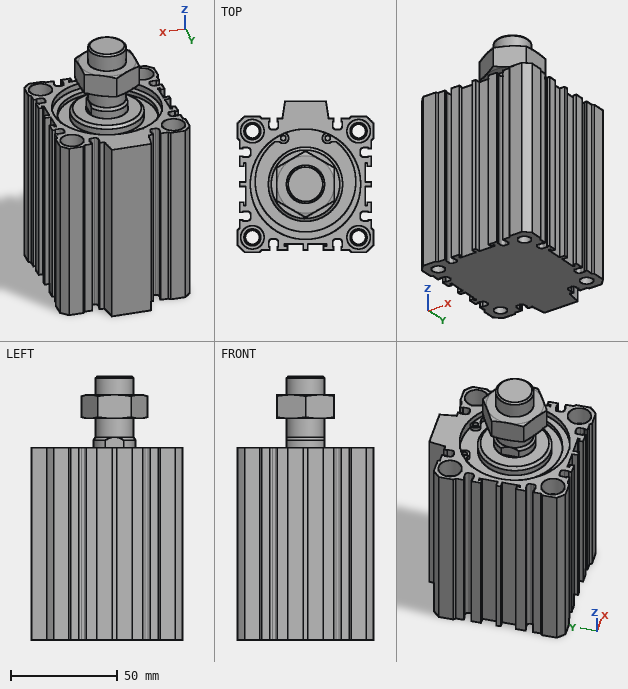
import cadquery as cq
import math

TOTAL_HEIGHT = 124.0
BODY_HEIGHT = 90.5
HALF_WIDTH = 32.0
FACE_OFFSET = 31.0
CORNER_RADIUS = 42.9

POST_EDGE = 21.6
POST_STEP = HALF_WIDTH - FACE_OFFSET
BLOCK_BACK = 39.0
BLOCK_ROOT_HALF_WIDTH = 10.9
BLOCK_BACK_HALF_WIDTH = 9.7

SLOT_OFFSET = 15.0
SLOT_MOUTH_WIDTH = 3.6
SLOT_MOUTH_DEPTH = 1.5
SLOT_INNER_WIDTH = 4.3
SLOT_DEPTH = 5.2
SLOT_FLOOR_RADIUS = 1.5

RAIL_DEPTH = 2.9
RAIL_MOUTH_HALF_WIDTH = 8.4
RAIL_INNER_HALF_WIDTH = 9.9
RAIL_LIP_DEPTH = 2.0
RIB_WIDTH = 2.2

HOLE_PITCH = 50.0
HOLE_DIAMETER = 6.6
HOLE_MOUTH_DIAMETER = 7.9
COUNTERBORE_DIAMETER = 11.0
COUNTERBORE_DEPTH = 9.9

BORE_DIAMETER = 52.0
BORE_DEPTH = 5.0
BOSS_DIAMETER = 35.0
BOSS_CHAMFER = 1.4
BOSS_TOP_GAP = 0.5

RING_THICKNESS = 2.0
RING_INNER_DIAMETER = 47.4
RING_INNER_SHIFT = 1.2
EYE_X = 10.4
EYE_Y = 21.7
EYE_DIAMETER = 5.0
EYE_HOLE_DIAMETER = 2.5
EYE_ARM_END = 14.6
EYE_ARM_FRONT = 20.0

ROD_DIAMETER = 20.0
THREAD_DIAMETER = 18.0
THREAD_START = 95.5
SHOULDER_HEIGHT = 1.5
SHOULDER_STEP = (ROD_DIAMETER - THREAD_DIAMETER) / 2
ROD_TIP_CHAMFER = 0.9
FLATS_WIDTH = 18.0

NUT_SIDES = 6
NUT_TURN = 30
NUT_WIDTH = 27.0
NUT_HEIGHT = 11.0
NUT_BOTTOM = 104.3
NUT_CHAMFER_DROP = 0.6

COVER_LEVEL = BODY_HEIGHT - BORE_DEPTH
BOSS_TOP = BODY_HEIGHT - BOSS_TOP_GAP
ROD_BOTTOM = COVER_LEVEL
SIDE_ANGLES = (0, 90, -90)


def prism(points, height=BODY_HEIGHT):
    return cq.Workplane("XY").polyline(points).close().extrude(height)


def box(x_min, x_max, y_min, y_max, z_min=0.0, z_max=BODY_HEIGHT):
    size_x, size_y, size_z = x_max - x_min, y_max - y_min, z_max - z_min
    return cq.Workplane("XY").box(size_x, size_y, size_z, centered=False).translate((x_min, y_min, z_min))


def cylinder(diameter, z_min, z_max, x=0.0, y=0.0):
    return cq.Workplane("XY", origin=(x, y, z_min)).circle(diameter / 2).extrude(z_max - z_min)


def turn(shape, angle):
    return shape.rotate((0, 0, 0), (0, 0, 1), angle)


def post_relief():
    """Shallow step between two corner posts."""
    inner_edge = POST_EDGE - POST_STEP
    return prism([
        (-POST_EDGE, -HALF_WIDTH),
        (-inner_edge, -FACE_OFFSET),
        (inner_edge, -FACE_OFFSET),
        (POST_EDGE, -HALF_WIDTH),
    ])


def sensor_slot(center_x):
    """Slot with a narrow mouth and a rounded floor."""
    mouth_half, inner_half = SLOT_MOUTH_WIDTH / 2, SLOT_INNER_WIDTH / 2
    floor = -FACE_OFFSET + SLOT_DEPTH
    lip = -FACE_OFFSET + SLOT_MOUTH_DEPTH
    mouth = box(center_x - mouth_half, center_x + mouth_half, -HALF_WIDTH, floor - SLOT_FLOOR_RADIUS)
    inner = box(center_x - inner_half, center_x + inner_half, lip, floor)
    return mouth.union(inner.edges("|Z and >Y").fillet(SLOT_FLOOR_RADIUS))


def rail_recess():
    """Wide undercut recess, split by a rib along its middle."""
    floor = -FACE_OFFSET + RAIL_DEPTH
    lip = -FACE_OFFSET + RAIL_LIP_DEPTH
    mouth = box(-RAIL_MOUTH_HALF_WIDTH, RAIL_MOUTH_HALF_WIDTH, -HALF_WIDTH, floor)
    undercut = box(-RAIL_INNER_HALF_WIDTH, RAIL_INNER_HALF_WIDTH, lip, floor)
    rib = box(-RIB_WIDTH / 2, RIB_WIDTH / 2, -FACE_OFFSET, floor)
    return mouth.union(undercut).cut(rib)


def mounting_hole(x, y):
    """Through hole, conical at the bottom of its counterbore."""
    cone_top = BODY_HEIGHT - COUNTERBORE_DEPTH
    cone_bottom = cone_top - (HOLE_MOUTH_DIAMETER - HOLE_DIAMETER) / 2
    profile = [
        (0, 0),
        (HOLE_DIAMETER / 2, 0),
        (HOLE_DIAMETER / 2, cone_bottom),
        (HOLE_MOUTH_DIAMETER / 2, cone_top),
        (COUNTERBORE_DIAMETER / 2, cone_top),
        (COUNTERBORE_DIAMETER / 2, BODY_HEIGHT),
        (0, BODY_HEIGHT),
    ]
    hole = cq.Workplane("XZ").polyline(profile).close().revolve(360, (0, 0, 0), (0, 1, 0))
    return hole.translate((x, y, 0))


def back_block():
    return prism([
        (-BLOCK_ROOT_HALF_WIDTH, FACE_OFFSET),
        (-BLOCK_BACK_HALF_WIDTH, BLOCK_BACK),
        (BLOCK_BACK_HALF_WIDTH, BLOCK_BACK),
        (BLOCK_ROOT_HALF_WIDTH, FACE_OFFSET),
    ])


def cover_boss():
    boss = cylinder(BOSS_DIAMETER, COVER_LEVEL, BOSS_TOP).faces(">Z").chamfer(BOSS_CHAMFER)
    return boss.cut(cylinder(ROD_DIAMETER, ROD_BOTTOM, BOSS_TOP))


def retaining_ring():
    """Open ring on the cover, with an eye at each end."""
    top = COVER_LEVEL + RING_THICKNESS
    ring = cylinder(BORE_DIAMETER, COVER_LEVEL, top)
    ring = ring.cut(cylinder(RING_INNER_DIAMETER, COVER_LEVEL, top, y=RING_INNER_SHIFT))
    ring = ring.cut(box(-EYE_X, EYE_X, 0, BORE_DIAMETER / 2, COVER_LEVEL, top))
    bore = cylinder(BORE_DIAMETER, COVER_LEVEL, top)
    for side in (-1, 1):
        arm_ends = sorted((side * EYE_X, side * EYE_ARM_END))
        arm = box(*arm_ends, EYE_ARM_FRONT, EYE_Y, COVER_LEVEL, top)
        eye = cylinder(EYE_DIAMETER, COVER_LEVEL, top, side * EYE_X, EYE_Y)
        ring = ring.union(arm.union(eye).intersect(bore))
        ring = ring.cut(cylinder(EYE_HOLE_DIAMETER, COVER_LEVEL, top, side * EYE_X, EYE_Y))
    return ring


def make_housing():
    housing = box(-HALF_WIDTH, HALF_WIDTH, -HALF_WIDTH, HALF_WIDTH)
    housing = housing.intersect(cylinder(2 * CORNER_RADIUS, 0, BODY_HEIGHT))
    for angle in SIDE_ANGLES + (180,):
        housing = housing.cut(turn(post_relief(), angle))
        for side in (-1, 1):
            housing = housing.cut(turn(sensor_slot(side * SLOT_OFFSET), angle))
    for angle in SIDE_ANGLES:
        housing = housing.cut(turn(rail_recess(), angle))
    housing = housing.union(back_block())
    for x in (-HOLE_PITCH / 2, HOLE_PITCH / 2):
        for y in (-HOLE_PITCH / 2, HOLE_PITCH / 2):
            housing = housing.cut(mounting_hole(x, y))
    housing = housing.cut(cylinder(BORE_DIAMETER, COVER_LEVEL, BODY_HEIGHT))
    return housing.union(cover_boss()).union(retaining_ring())


def make_rod():
    rod = cylinder(ROD_DIAMETER, ROD_BOTTOM, THREAD_START)
    rod = rod.faces(">Z").chamfer(SHOULDER_HEIGHT, SHOULDER_STEP)
    thread = cylinder(THREAD_DIAMETER, THREAD_START, TOTAL_HEIGHT)
    rod = rod.union(thread.faces(">Z").chamfer(ROD_TIP_CHAMFER))
    flats_outside = box(-ROD_DIAMETER, ROD_DIAMETER, -ROD_DIAMETER, ROD_DIAMETER, BOSS_TOP, THREAD_START)
    flats_inside = box(-FLATS_WIDTH / 2, FLATS_WIDTH / 2, -ROD_DIAMETER, ROD_DIAMETER, BOSS_TOP, THREAD_START)
    return rod.cut(flats_outside.cut(flats_inside))


def make_nut():
    corner_radius = NUT_WIDTH / 2 / math.cos(math.pi / NUT_SIDES)
    hexagon = turn(cq.Workplane("XY").polygon(NUT_SIDES, 2 * corner_radius).extrude(NUT_HEIGHT), NUT_TURN)
    profile = [
        (0, 0),
        (NUT_WIDTH / 2, 0),
        (corner_radius, NUT_CHAMFER_DROP),
        (corner_radius, NUT_HEIGHT - NUT_CHAMFER_DROP),
        (NUT_WIDTH / 2, NUT_HEIGHT),
        (0, NUT_HEIGHT),
    ]
    blank = cq.Workplane("XZ").polyline(profile).close().revolve(360, (0, 0, 0), (0, 1, 0))
    nut = hexagon.intersect(blank).cut(cylinder(THREAD_DIAMETER, 0, NUT_HEIGHT))
    return nut.translate((0, 0, NUT_BOTTOM))


housing = make_housing()
rod = make_rod()
nut = make_nut()
result = cq.Compound.makeCompound([body.solids().val() for body in (housing, rod, nut)])